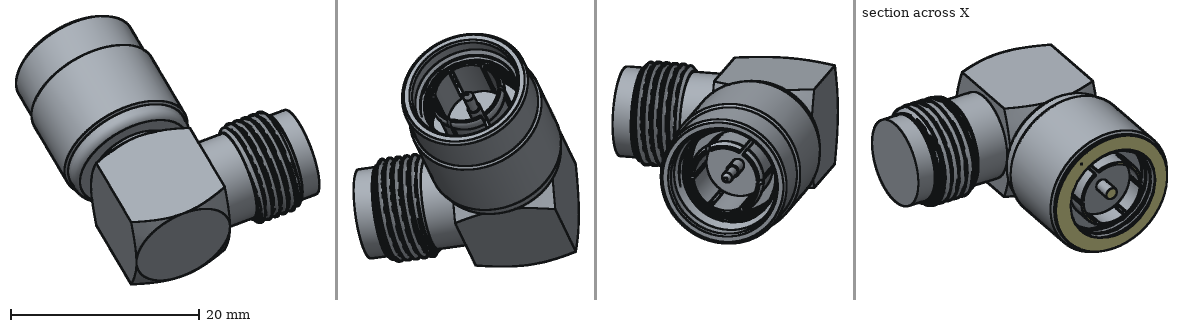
import cadquery as cq
import math


BLOCK_SIDE = 11.0
BLOCK_BACK_X = 5.83
BLOCK_FRONT_X = -5.5
BLOCK_CHAMFER_ANGLE = 30.0

THREAD_MAJOR_R = 5.556
PITCH = 25.4 / 28
THREAD_DEPTH = 0.6
FLANK_HALF_ANGLE = 30.0
FLANK_STEPS = 4
ENVELOPE_CLEARANCE = 0.02
FULL_TURN = 360

JACK_END_Y = 16.5
JACK_R = 4.8
JACK_THREAD_START_Y = 9.1
JACK_THREAD_END_Y = 14.47
JACK_CREST_ANGLE = 135.0
THREAD_END_CHAMFER = 0.65

PLUG_FRONT_X = -21.47
NUT_R = 6.92
NUT_FRONT_CHAMFER = 0.28
GRIP_R = 7.24
GRIP_START = 4.6
GRIP_END = 13.27
GRIP_CHAMFER = 0.22
NUT_LENGTH = 15.04
NUT_BACK_R = 6.35
BACK_ROUNDING_START = 14.1
NECK_R = 4.75

MOUTH_R = 5.8
MOUTH_CHAMFER = 0.23
MOUTH_DEPTH = 1.63
NUT_THREAD_MINOR_R = 5.05
NUT_THREAD_MAJOR_R = 5.4
LEAD_IN_END_R = 5.0
SOCKET_DEPTH = 6.5
NUT_CREST_ANGLE = -35.0

SLEEVE_START = 0.87
SLEEVE_INNER_R = 3.45
SLEEVE_OUTER_R = 3.78
BULGE_R = 4.05
BULGE_LENGTH = 1.4
MOUTH_BEVEL_WIDTH = 0.22
MOUTH_BEVEL_LENGTH = 0.1
SLOT_COUNT = 6
SLOT_WIDTH = 0.42
SLOT_END = 6.1
INSULATOR_FACE = 6.3

PIN_START = 1.1
PIN_TIP_R = 0.2
PIN_NOSE_R = 0.55
PIN_TIP_LENGTH = 0.6
PIN_STEP_START = 4.0
PIN_R = 0.68


def outline(points):
    return cq.Workplane("XY").polyline(points).close()


def turned_about_x(profile):
    """Solid turned about the plug axis; profile X is the distance behind the plug front."""
    return profile.revolve(FULL_TURN, (0, 0, 0), (1, 0, 0)).translate((PLUG_FRONT_X, 0, 0))


def on_circle(radius, angle):
    return radius * math.cos(math.radians(angle)), radius * math.sin(math.radians(angle))


def threaded_rod(root_r, crest_r, length, crest_angle):
    """Right-hand threaded rod along +Z from the origin.

    Every cross-section is the same closed curve: a root arc and a crest arc joined by two
    spirals, which become the flanks as the section twists once per pitch. At Z = 0 the
    crest lies at crest_angle.
    """
    flank_width = (crest_r - root_r) * math.tan(math.radians(FLANK_HALF_ANGLE))
    flank_sweep = FULL_TURN * flank_width / PITCH
    crest_half_sweep = (FULL_TURN / 2 - flank_sweep) / 2
    fractions = [step / FLANK_STEPS for step in range(FLANK_STEPS + 1)]
    falling_flank = [
        on_circle(crest_r + (root_r - crest_r) * part, crest_half_sweep + flank_sweep * part)
        for part in fractions
    ]
    rising_flank = [(x, -y) for x, y in reversed(falling_flank)]
    section = (
        cq.Workplane("XY")
        .moveTo(*falling_flank[0])
        .spline(falling_flank[1:], includeCurrent=True)
        .threePointArc((-root_r, 0), rising_flank[0])
        .spline(rising_flank[1:], includeCurrent=True)
        .threePointArc((crest_r, 0), falling_flank[0])
        .close()
    )
    rod = section.twistExtrude(length, FULL_TURN * length / PITCH)
    return rod.rotate((0, 0, 0), (0, 0, 1), crest_angle)


def make_block():
    length = BLOCK_BACK_X - BLOCK_FRONT_X
    box = cq.Workplane("XY").box(length, BLOCK_SIDE, BLOCK_SIDE)
    box = box.translate(((BLOCK_FRONT_X + BLOCK_BACK_X) / 2, 0, 0))
    end_r = BLOCK_SIDE / 2
    wide_r = BLOCK_SIDE
    rise = (wide_r - end_r) * math.tan(math.radians(BLOCK_CHAMFER_ANGLE))
    cone_envelope = (
        cq.Workplane("XY")
        .polyline([
            (BLOCK_FRONT_X, 0),
            (BLOCK_FRONT_X, end_r),
            (BLOCK_FRONT_X + rise, wide_r),
            (BLOCK_BACK_X - rise, wide_r),
            (BLOCK_BACK_X, end_r),
            (BLOCK_BACK_X, 0),
        ])
        .close()
        .revolve(FULL_TURN, (0, 0, 0), (1, 0, 0))
    )
    return box.intersect(cone_envelope)


def make_jack():
    thread_length = JACK_THREAD_END_Y - JACK_THREAD_START_Y
    rod = threaded_rod(THREAD_MAJOR_R - THREAD_DEPTH, THREAD_MAJOR_R, thread_length, JACK_CREST_ANGLE)
    chamfered_envelope = (
        cq.Workplane("XY")
        .circle(THREAD_MAJOR_R + ENVELOPE_CLEARANCE)
        .extrude(thread_length)
        .faces("<Z or >Z")
        .chamfer(THREAD_END_CHAMFER)
    )
    thread = rod.intersect(chamfered_envelope).translate((0, 0, JACK_THREAD_START_Y))
    block_face = BLOCK_SIDE / 2
    barrel = cq.Workplane("XY").workplane(offset=block_face).circle(JACK_R).extrude(JACK_END_Y - block_face)
    return barrel.union(thread).rotate((0, 0, 0), (1, 0, 0), -90)


def make_nut():
    profile = (
        cq.Workplane("XY")
        .polyline([
            (0, 0),
            (0, NUT_R - NUT_FRONT_CHAMFER),
            (NUT_FRONT_CHAMFER, NUT_R),
            (GRIP_START, NUT_R),
            (GRIP_START + GRIP_CHAMFER, GRIP_R),
            (GRIP_END - GRIP_CHAMFER, GRIP_R),
            (GRIP_END, NUT_R),
            (BACK_ROUNDING_START, NUT_R),
        ])
        .tangentArcPoint((NUT_LENGTH, NUT_BACK_R), relative=False)
        .lineTo(NUT_LENGTH, 0)
        .close()
    )
    return turned_about_x(profile)


def make_socket():
    lead_in_end = MOUTH_DEPTH + MOUTH_R - LEAD_IN_END_R
    mouth = turned_about_x(outline([
        (0, 0),
        (0, MOUTH_R + MOUTH_CHAMFER),
        (MOUTH_CHAMFER, MOUTH_R),
        (MOUTH_DEPTH, MOUTH_R),
        (lead_in_end, LEAD_IN_END_R),
        (lead_in_end, 0),
    ]))
    thread_length = SOCKET_DEPTH - MOUTH_DEPTH
    rod = threaded_rod(NUT_THREAD_MINOR_R, NUT_THREAD_MAJOR_R, thread_length, NUT_CREST_ANGLE)
    rod = rod.rotate((0, 0, 0), (0, 1, 0), 90).translate((PLUG_FRONT_X + MOUTH_DEPTH, 0, 0))
    return mouth.union(rod)


def make_contact_core():
    """Slotted sleeve and pin standing on one insulator disc, turned as a single piece."""
    bulge_middle = SLEEVE_START + BULGE_LENGTH / 2
    profile = (
        cq.Workplane("XY")
        .polyline([
            (SOCKET_DEPTH, 0),
            (PIN_START, 0),
            (PIN_START, PIN_TIP_R),
            (PIN_START + PIN_TIP_LENGTH, PIN_NOSE_R),
            (PIN_STEP_START, PIN_NOSE_R),
            (PIN_STEP_START, PIN_R),
            (INSULATOR_FACE, PIN_R),
            (INSULATOR_FACE, SLEEVE_INNER_R),
            (SLEEVE_START + MOUTH_BEVEL_LENGTH, SLEEVE_INNER_R),
            (SLEEVE_START, SLEEVE_INNER_R + MOUTH_BEVEL_WIDTH),
            (SLEEVE_START, SLEEVE_OUTER_R),
        ])
        .threePointArc((bulge_middle, BULGE_R), (SLEEVE_START + BULGE_LENGTH, SLEEVE_OUTER_R))
        .lineTo(SOCKET_DEPTH, SLEEVE_OUTER_R)
        .close()
    )
    core = turned_about_x(profile)
    slot_height = BULGE_R - SLEEVE_INNER_R / 2
    slot = cq.Workplane("XY").box(SLOT_END, slot_height, SLOT_WIDTH)
    slot = slot.translate((PLUG_FRONT_X + SLOT_END / 2, BULGE_R - slot_height / 2, 0))
    for index in range(SLOT_COUNT):
        core = core.cut(slot.rotate((0, 0, 0), (1, 0, 0), index * FULL_TURN / SLOT_COUNT))
    return core


def make_plug():
    """Threaded nut with the contact core standing on its socket floor.

    The two meet only on the flat floor, so their skins are sewn together there: the floor
    loses the disc covered by the core, and the core loses its base.
    """
    nut = make_nut().cut(make_socket())
    core = make_contact_core()
    floor_centre = (PLUG_FRONT_X + SOCKET_DEPTH, 0, 0)
    floor = nut.faces(cq.selectors.NearestToPointSelector(floor_centre)).val()
    base = core.faces(">X").val()
    skin = [face for face in nut.faces().vals() if not face.isSame(floor)]
    skin += floor.cut(base).Faces()
    skin += [face for face in core.faces().vals() if not face.isSame(base)]
    return cq.Solid.makeSolid(cq.Shell.makeShell(skin))


def make_neck():
    neck_end = BLOCK_FRONT_X - PLUG_FRONT_X
    return turned_about_x(outline([
        (NUT_LENGTH, 0),
        (NUT_LENGTH, NECK_R),
        (neck_end, NECK_R),
        (neck_end, 0),
    ]))


joined = make_plug().fuse(make_neck().val(), make_block().val(), make_jack().val(), glue=True)
result = cq.Workplane(joined.Solids()[0])